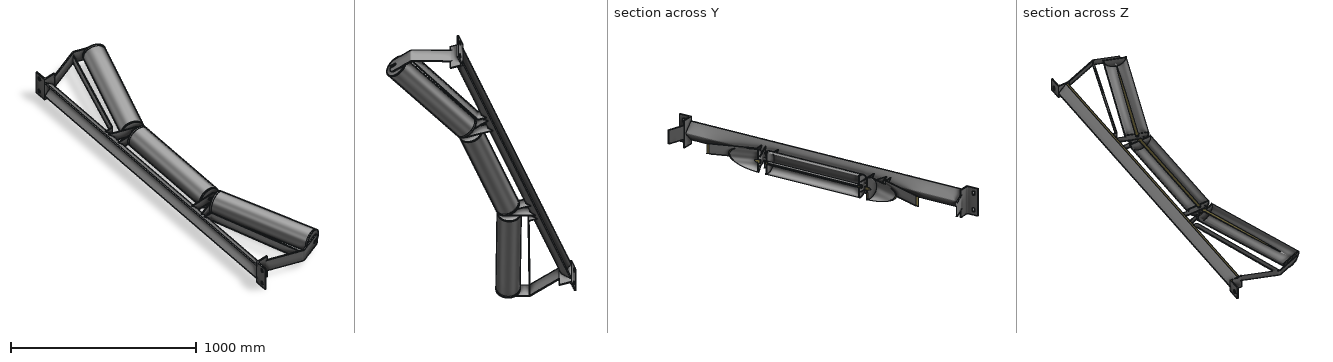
import cadquery as cq
import math


OVERALL_LENGTH = 1918.0
TROUGH_ANGLE = 20.0
FORWARD_TILT = 1.0

ROLLER_DIAMETER = 132.0
ROLLER_LENGTH = 600.0
SHELL_WALL = 4.0
END_CAP_THICKNESS = 10.0
SHAFT_DIAMETER = 20.0
CENTRE_AXIS_Y = 160.0
WING_INNER_X = 343.0
WING_INNER_Y = 167.0
INNER_GAP = 4.0
OUTER_GAP = 5.0

BEAM_LEG = 79.0
BEAM_THICKNESS = 8.0
BEAM_ROOT_RADIUS = 12.0
BEAM_CORNER_RADIUS = 5.0

FOOT_WIDTH = 160.0
FOOT_HEIGHT = 71.0
FOOT_FLANGE = 73.0
FOOT_INNER_X = 879.0
FOOT_ROOT_RADIUS = 10.0
BRACKET_THICKNESS = 8.0
ARM_WIDTH = 80.0
ARM_OFFSET_Z = 10.0
ARM_BEND_Y = 65.0
ARM_TOP_LENGTH = 145.0
ARM_CORNER_RADIUS = 23.0
BEND_RADIUS = 12.0
BOLT_HOLE_WIDTH = 17.0
BOLT_HOLE_LENGTH = 25.0
BOLT_HOLE_SPACING = 98.0
BOLT_HOLE_X = 925.0

SHEET_THICKNESS = 5.0
SHEET_WIDTH = 60.0
INNER_BRACKET_TOP = 192.0
INNER_BRACKET_X = 303.0
STRUT_LEG_X = 409.0
STRUT_BEND_Y = 82.0
STRUT_BEND_RADIUS = 5.0

ANGLE = math.radians(TROUGH_ANGLE)
SIN, COS, TAN = math.sin(ANGLE), math.cos(ANGLE), math.tan(ANGLE)
SHELL_BORE = ROLLER_DIAMETER - 2 * SHELL_WALL
FOOT_OUTER_X = FOOT_INNER_X + BRACKET_THICKNESS
BEAM_HALF_HEIGHT = BEAM_LEG / math.sqrt(2)
BEAM_TIP_Y = BEAM_THICKNESS / math.sqrt(2)
BEAM_APEX_Y = BEAM_HALF_HEIGHT + BEAM_TIP_Y
SHEET_BOTTOM_Y = BEAM_APEX_Y - SHEET_WIDTH / 2
ARM_BOTTOM_Z = ARM_OFFSET_Z - ARM_WIDTH / 2
KNEE_ROUNDING = (BEND_RADIUS + BRACKET_THICKNESS) * (1 / COS - 1)
KNEE_INNER_X = OVERALL_LENGTH / 2 + KNEE_ROUNDING - BRACKET_THICKNESS / COS
KNEE_Y = ARM_BEND_Y + (KNEE_INNER_X - FOOT_INNER_X) / TAN
WING_SHAFT_START = -(ROLLER_LENGTH + OUTER_GAP + BRACKET_THICKNESS)
WING_SHAFT_END = INNER_GAP + SHEET_THICKNESS
CENTRE_SHAFT_HALF = INNER_BRACKET_X + SHEET_THICKNESS


def bent_sheet(path, thickness, bend_radius, bottom_z, width):
    """Sheet whose right-hand face follows path in XY; thickness lies to the left."""
    turns = []
    offset = []
    for i, (x, y) in enumerate(path):
        before = path[max(i - 1, 0):max(i - 1, 0) + 2]
        after = path[min(i, len(path) - 2):min(i, len(path) - 2) + 2]
        a = math.atan2(before[1][1] - before[0][1], before[1][0] - before[0][0])
        b = math.atan2(after[1][1] - after[0][1], after[1][0] - after[0][0])
        turn = math.remainder(b - a, 2 * math.pi)
        reach = thickness / math.cos(turn / 2)
        normal = a + turn / 2 + math.pi / 2
        offset.append((x + reach * math.cos(normal), y + reach * math.sin(normal)))
        turns.append(turn)
    outline = path + offset[::-1]
    sheet = cq.Workplane("XY").workplane(offset=bottom_z).polyline(outline).close().extrude(width)
    middle_z = bottom_z + width / 2
    for right, left, turn in list(zip(path, offset, turns))[1:-1]:
        inside, outside = (left, right) if turn > 0 else (right, left)
        for (x, y), radius in ((inside, bend_radius), (outside, bend_radius + thickness)):
            corner = cq.selectors.NearestToPointSelector((x, y, middle_z))
            sheet = sheet.edges("|Z").edges(corner).fillet(radius)
    return sheet


def along_x(profile_yz, length):
    """Closed YZ outline extruded symmetrically about X = 0."""
    return cq.Workplane("YZ").polyline(profile_yz).close().extrude(length / 2, both=True)


def rod(diameter, start, end):
    """Cylinder along X between two X positions."""
    return cq.Workplane("YZ", origin=(start, 0, 0)).circle(diameter / 2).extrude(end - start)


def on_wing_axis(shape):
    """Move a shape from the X axis to the left wing: X = 0 is the inner roller end, -X outward."""
    tilted = shape.rotate((0, 0, 0), (0, 1, 0), FORWARD_TILT)
    leaning = tilted.rotate((0, 0, 0), (0, 0, 1), -TROUGH_ANGLE)
    return leaning.translate((-WING_INNER_X, WING_INNER_Y, 0))


def roller_shell():
    """Tube lying along -X from the origin."""
    return rod(ROLLER_DIAMETER, -ROLLER_LENGTH, 0).cut(rod(SHELL_BORE, -ROLLER_LENGTH, 0))


def roller_shaft(start, end):
    """Shaft with the two end caps that close the shell."""
    outer_cap = rod(SHELL_BORE, -ROLLER_LENGTH, END_CAP_THICKNESS - ROLLER_LENGTH)
    inner_cap = rod(SHELL_BORE, -END_CAP_THICKNESS, 0)
    return rod(SHAFT_DIAMETER, start, end).union(outer_cap).union(inner_cap)


wing_shell = on_wing_axis(roller_shell())
wing_shaft = on_wing_axis(roller_shaft(WING_SHAFT_START, WING_SHAFT_END))
to_centre = (ROLLER_LENGTH / 2, CENTRE_AXIS_Y, 0)
centre_shell = roller_shell().translate(to_centre)
centre_shaft = roller_shaft(
    -CENTRE_SHAFT_HALF - ROLLER_LENGTH / 2, CENTRE_SHAFT_HALF - ROLLER_LENGTH / 2
).translate(to_centre)


def beam():
    """Angle section between the two feet, with a rounded root and corner."""
    inner_tip_z = BEAM_HALF_HEIGHT - BEAM_TIP_Y
    inner_apex_y = BEAM_APEX_Y - BEAM_THICKNESS * math.sqrt(2)
    outline = [
        (0, inner_tip_z),
        (BEAM_TIP_Y, BEAM_HALF_HEIGHT),
        (BEAM_APEX_Y, 0),
        (BEAM_TIP_Y, -BEAM_HALF_HEIGHT),
        (0, -inner_tip_z),
        (inner_apex_y, 0),
    ]
    section = along_x(outline, 2 * FOOT_INNER_X)
    root = cq.selectors.NearestToPointSelector((0, inner_apex_y, 0))
    section = section.edges("|X").edges(root).fillet(BEAM_ROOT_RADIUS)
    return section.edges("|X and >Y").fillet(BEAM_CORNER_RADIUS)


def beam_envelope():
    """Wedge filling the beam's outer faces, used to fit sheets over the beam."""
    return along_x([(BEAM_APEX_Y, 0), (0, BEAM_APEX_Y), (0, -BEAM_APEX_Y)], OVERALL_LENGTH)


def inner_bracket():
    """Folded sheet holding the centre shaft in its upright leg and a wing shaft in its sloping leg."""
    face_x = -WING_INNER_X + INNER_GAP * COS
    face_y = WING_INNER_Y - INNER_GAP * SIN
    path = [
        (-INNER_BRACKET_X, SHEET_BOTTOM_Y),
        (-INNER_BRACKET_X, INNER_BRACKET_TOP),
        (face_x + (INNER_BRACKET_TOP - face_y) * TAN, INNER_BRACKET_TOP),
        (face_x - (face_y - SHEET_BOTTOM_Y) * TAN, SHEET_BOTTOM_Y),
    ]
    sheet = bent_sheet(path, SHEET_THICKNESS, SHEET_THICKNESS, -SHEET_WIDTH / 2, SHEET_WIDTH)
    return sheet.cut(centre_shaft).cut(wing_shaft)


def strut():
    """Bent sheet running from the beam up to the knee of the end bracket."""
    path = [
        (-STRUT_LEG_X, SHEET_BOTTOM_Y),
        (-STRUT_LEG_X, STRUT_BEND_Y),
        (-KNEE_INNER_X, KNEE_Y),
    ]
    return bent_sheet(path, SHEET_THICKNESS, STRUT_BEND_RADIUS, -SHEET_WIDTH / 2, SHEET_WIDTH)


def foot():
    """Angle-shaped foot with two slotted bolt holes in its flange."""
    flange_end = -(FOOT_INNER_X + FOOT_FLANGE)
    outline = [
        (flange_end, 0),
        (-FOOT_INNER_X, 0),
        (-FOOT_INNER_X, FOOT_HEIGHT),
        (-FOOT_OUTER_X, FOOT_HEIGHT),
        (-FOOT_OUTER_X, BRACKET_THICKNESS),
        (flange_end, BRACKET_THICKNESS),
    ]
    plate = cq.Workplane("XY").polyline(outline).close().extrude(FOOT_WIDTH / 2, both=True)
    root = cq.selectors.NearestToPointSelector((-FOOT_OUTER_X, BRACKET_THICKNESS, 0))
    plate = plate.edges("|Z").edges(root).fillet(FOOT_ROOT_RADIUS)
    bolt_holes = (
        cq.Workplane("XZ")
        .pushPoints([(-BOLT_HOLE_X, side * BOLT_HOLE_SPACING / 2) for side in (-1, 1)])
        .slot2D(BOLT_HOLE_LENGTH, BOLT_HOLE_WIDTH, 90)
        .extrude(-BRACKET_THICKNESS)
    )
    return plate.cut(bolt_holes)


def arm():
    """Cranked arm with a rounded tip and an open slot for the wing shaft."""
    path = [
        (-FOOT_INNER_X, FOOT_HEIGHT - FOOT_ROOT_RADIUS),
        (-FOOT_INNER_X, ARM_BEND_Y),
        (-KNEE_INNER_X, KNEE_Y),
        (-KNEE_INNER_X + ARM_TOP_LENGTH * SIN, KNEE_Y + ARM_TOP_LENGTH * COS),
    ]
    sheet = bent_sheet(path, BRACKET_THICKNESS, BEND_RADIUS, ARM_BOTTOM_Z, ARM_WIDTH)
    tip = cq.selectors.DirectionMinMaxSelector(cq.Vector(SIN, COS, 0))
    sheet = sheet.faces(tip).edges("#Z").fillet(ARM_CORNER_RADIUS)
    slot = cq.Workplane("XY").box(
        4 * BRACKET_THICKNESS, ARM_TOP_LENGTH, SHAFT_DIAMETER, centered=(True, False, True)
    )
    slot = on_wing_axis(slot.translate((WING_SHAFT_START + BRACKET_THICKNESS / 2, 0, 0)))
    return sheet.cut(slot).cut(wing_shaft)


end_bracket = foot().union(arm())
fittings = inner_bracket().union(strut()).cut(beam_envelope())
frame = beam().union(fittings).union(fittings.mirror("YZ"))
frame = frame.cut(end_bracket).cut(end_bracket.mirror("YZ"))

bodies = [frame, centre_shell, centre_shaft]
for wing_body in (wing_shell, wing_shaft, end_bracket):
    bodies += [wing_body, wing_body.mirror("YZ")]

result = cq.Compound.makeCompound([body.val() for body in bodies])